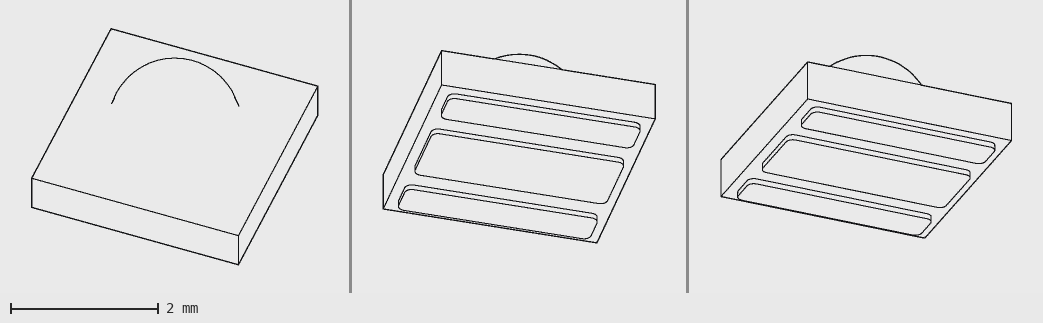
import cadquery as cq
import math

base_side = 3.0
base_height = 0.573

pad_height = 0.078
pad_length = 2.7
pad_corner_radius = 0.1
side_pad_width = 0.5
center_pad_width = 2 * side_pad_width
side_pad_offset = (pad_length - side_pad_width) / 2

overall_height = 1.7
dome_radius = 0.9
flare_radius = 0.4

base_top = pad_height + base_height
dome_center_z = overall_height - dome_radius

flare_center_z = base_top + flare_radius
center_distance = dome_radius + flare_radius
tangent_angle = math.asin((flare_center_z - dome_center_z) / center_distance)
flare_outer_radius = center_distance * math.cos(tangent_angle)


def dome_point(angle):
    """Point (radius, z) on the dome at an elevation angle."""
    return (dome_radius * math.cos(angle), dome_center_z + dome_radius * math.sin(angle))


def flare_point(angle):
    """Point (radius, z) on the flare at an angle below its center, measured inward."""
    return (
        flare_outer_radius - flare_radius * math.cos(angle),
        flare_center_z - flare_radius * math.sin(angle),
    )


def make_base():
    return cq.Workplane("XY", origin=(0, 0, pad_height)).box(
        base_side, base_side, base_height, centered=(True, True, False)
    )


def make_pad(width, x):
    pad = cq.Workplane("XY", origin=(x, 0, 0)).box(
        width, pad_length, pad_height, centered=(True, True, False)
    )
    return pad.edges("|Z").fillet(pad_corner_radius)


def make_lens():
    apex = (0, overall_height)
    dome_middle = dome_point((tangent_angle + math.pi / 2) / 2)
    flare_middle = flare_point((tangent_angle + math.pi / 2) / 2)
    profile = (
        cq.Workplane("XZ")
        .moveTo(0, base_top)
        .lineTo(flare_outer_radius, base_top)
        .threePointArc(flare_middle, dome_point(tangent_angle))
        .threePointArc(dome_middle, apex)
        .close()
    )
    return profile.revolve(360, (0, 0, 0), (0, 1, 0))


result = make_base().union(make_lens())
for width, x in (
    (side_pad_width, -side_pad_offset),
    (center_pad_width, 0),
    (side_pad_width, side_pad_offset),
):
    result = result.union(make_pad(width, x))